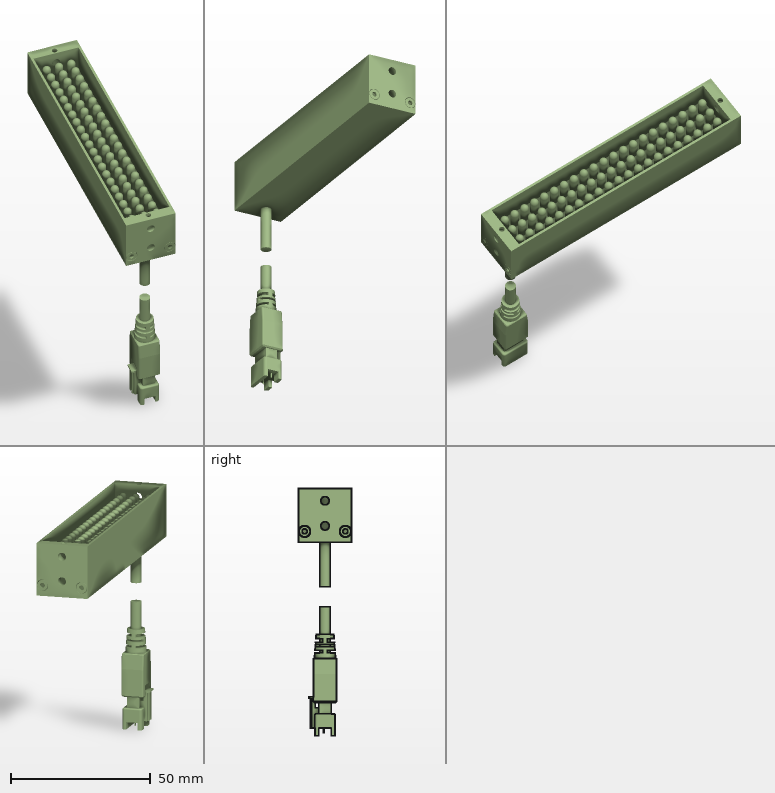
import cadquery as cq

BAR_LENGTH = 100.0
BAR_DEPTH = 19.0
BAR_HEIGHT = 19.3
CAP_THICKNESS = 4.0
WALL = 0.9
FLOOR_Z = 9.0

LAMP_DIAMETER = 3.0
LAMP_DOME_Z = 15.2
LAMP_COLUMNS = 21
LAMP_ROWS = 3
LAMP_PITCH_X = 4.3
LAMP_PITCH_Y = 4.7
LAMP_ROOT = 0.5

MOUNT_HOLE_DIAMETER = 3.0
MOUNT_HOLE_LEVELS = (5.85, 14.85)
TOP_HOLE_DIAMETER = 2.0
TOP_HOLE_DEPTH = 2.0
TOP_HOLE_SPACING = 95.0

SCREW_HEAD_DIAMETER = 3.9
SCREW_POCKET_DIAMETER = 4.2
SCREW_HEAD_HEIGHT = 2.0
SCREW_SOCKET_DIAMETER = 1.8
SCREW_SOCKET_DEPTH = 1.0
SCREW_Y = 7.3
SCREW_Z = 3.9

CABLE_DIAMETER = 3.9
CABLE_X = 43.75
STUB_LENGTH = 16.0
CABLE_GAP = 7.0
PLUG_BOTTOM_Z = -69.25
CABLE_END_Z = -STUB_LENGTH - CABLE_GAP

RELIEF_TOP_Z = -33.0
RELIEF_TOP_RADIUS = 3.2
RELIEF_BOTTOM_RADIUS = 3.85
RELIEF_RIB_WIDTH = 1.5
RELIEF_GROOVES = ((-34.45, -35.7), (-36.55, -37.45), (-38.65, -39.6))

BODY_TOP_Z = -41.5
BODY_TAPER_END_Z = -47.1
BODY_BOTTOM_Z = -57.4
BODY_TOP_WIDTH = 9.0
BODY_WIDTH = 10.2
BODY_DEPTH = 8.3
BODY_EDGE_RADIUS = 0.6
BODY_TOP_CHAMFER = 0.25
BODY_BOTTOM_CHAMFER = 0.5
WINDOW_WIDTH = 5.9
WINDOW_TOP_Z = -53.2

NECK_WIDTH = 8.4
NECK_DEPTH = 4.5

SHELL_TOP_Z = -61.4
SHELL_WIDTH = 10.9
SHELL_DEPTH = 7.3
SHELL_EDGE_RADIUS = 1.0
SHELL_TOP_RADIUS = 0.5
MOUTH_TOP_Z = -66.5
MOUTH_DEPTH = 4.3

LATCH_WIDTH = 4.2
LATCH_TOP_Z = -55.2
LATCH_ROOT_Z = -59.2
LATCH_BACK_Y = -3.45
LATCH_FACE_Y = -4.7
LATCH_RIB_Y = -5.3
LATCH_LIP_Y = -5.8
LATCH_LIP_THICKNESS = 0.6
LATCH_LIP_END_Z = -56.1
LATCH_RIB_WIDTH = 0.6
LATCH_RIB_OFFSET = 0.9

PIN_SIZE = 0.4
PIN_LENGTH = 1.7
PIN_OFFSET_X = 3.0
PIN_Y = -0.5


def block(width, depth, top, bottom, y=0.0):
    """Box centred on the cable axis in X, spanning two Z levels."""
    height = top - bottom
    return cq.Workplane("XY").box(width, depth, height).translate((CABLE_X, y, bottom + height / 2))


def slab(width, back, front, top, bottom):
    """Box centred on the cable axis in X, spanning two Y and two Z levels."""
    return block(width, back - front, top, bottom, (back + front) / 2)


def cable(top, bottom):
    return (cq.Workplane("XY", origin=(CABLE_X, 0, bottom))
            .circle(CABLE_DIAMETER / 2).extrude(top - bottom))


def lamps():
    """Grid of round lamps with domed tops, rooted slightly in the board."""
    radius = LAMP_DIAMETER / 2
    base = FLOOR_Z - LAMP_ROOT
    lamp = (cq.Workplane("XZ")
            .moveTo(0, base)
            .lineTo(radius, base)
            .lineTo(radius, LAMP_DOME_Z)
            .radiusArc((0, LAMP_DOME_Z + radius), -radius)
            .close()
            .revolve(360, (0, 0, 0), (0, 1, 0)).val())
    return (cq.Workplane("XY")
            .rarray(LAMP_PITCH_X, LAMP_PITCH_Y, LAMP_COLUMNS, LAMP_ROWS)
            .eachpoint(lambda place: lamp.moved(place)))


def cap_drill(diameter, depth, side, places):
    """Cylinders sunk into the outer face of the end cap on the given side."""
    return (cq.Workplane("YZ", origin=(side * BAR_LENGTH / 2, 0, 0))
            .pushPoints(places).circle(diameter / 2).extrude(-side * depth))


def drill_cap(bar, side):
    """Mounting holes and the two sunk screw heads of one end cap."""
    mounts = [(0, level) for level in MOUNT_HOLE_LEVELS]
    screws = [(-SCREW_Y, SCREW_Z), (SCREW_Y, SCREW_Z)]
    head_gap = (cap_drill(SCREW_POCKET_DIAMETER, SCREW_HEAD_HEIGHT, side, screws)
                .cut(cap_drill(SCREW_HEAD_DIAMETER, SCREW_HEAD_HEIGHT, side, screws)))
    return (bar.cut(cap_drill(MOUNT_HOLE_DIAMETER, CAP_THICKNESS, side, mounts))
            .cut(head_gap)
            .cut(cap_drill(SCREW_SOCKET_DIAMETER, SCREW_SOCKET_DEPTH, side, screws)))


def make_light_bar():
    """Open-topped bar with its lamps, drilled end caps and the stub of its cable."""
    centred = (True, True, False)
    tray_length = BAR_LENGTH - 2 * CAP_THICKNESS
    tray_depth = BAR_DEPTH - 2 * WALL
    tray = (cq.Workplane("XY", origin=(0, 0, FLOOR_Z))
            .box(tray_length, tray_depth, BAR_HEIGHT - FLOOR_Z, centered=centred))
    top_holes = (cq.Workplane("XY", origin=(0, 0, BAR_HEIGHT))
                 .rarray(TOP_HOLE_SPACING, 1, 2, 1)
                 .circle(TOP_HOLE_DIAMETER / 2).extrude(-TOP_HOLE_DEPTH))
    bar = cq.Workplane("XY").box(BAR_LENGTH, BAR_DEPTH, BAR_HEIGHT, centered=centred)
    bar = bar.cut(tray).cut(top_holes)
    for side in (-1, 1):
        bar = drill_cap(bar, side)
    return bar.union(lamps()).union(cable(0, -STUB_LENGTH))


def make_strain_relief():
    """Cone with ring grooves; each groove is bridged by a rib, turned 90 degrees each time."""
    cone = (cq.Workplane("XZ")
            .polyline([(0, RELIEF_TOP_Z), (RELIEF_TOP_RADIUS, RELIEF_TOP_Z),
                       (RELIEF_BOTTOM_RADIUS, BODY_TOP_Z), (0, BODY_TOP_Z)])
            .close().revolve(360, (0, 0, 0), (0, 1, 0)).translate((CABLE_X, 0, 0)))
    span = 2 * RELIEF_BOTTOM_RADIUS
    for index, (top, bottom) in enumerate(RELIEF_GROOVES):
        rib_along_x = index % 2 == 0
        rib_size = (span, RELIEF_RIB_WIDTH) if rib_along_x else (RELIEF_RIB_WIDTH, span)
        gap = (block(span, span, top, bottom)
               .cut(cable(top, bottom))
               .cut(block(*rib_size, top, bottom)))
        cone = cone.cut(gap)
    return cone


def make_plug_body():
    """Block with a tapered top and an opening at the front for the latch."""
    half_top = BODY_TOP_WIDTH / 2
    half = BODY_WIDTH / 2
    body = (cq.Workplane("XZ", origin=(CABLE_X, 0, 0))
            .polyline([(-half_top, BODY_TOP_Z), (half_top, BODY_TOP_Z), (half, BODY_TAPER_END_Z),
                       (half, BODY_BOTTOM_Z), (-half, BODY_BOTTOM_Z), (-half, BODY_TAPER_END_Z)])
            .close().extrude(BODY_DEPTH / 2, both=True))
    body = body.edges("not #Z").fillet(BODY_EDGE_RADIUS)
    body = body.faces(">Z").chamfer(BODY_TOP_CHAMFER)
    body = body.faces("<Z").chamfer(BODY_BOTTOM_CHAMFER)
    return body.cut(slab(WINDOW_WIDTH, -NECK_DEPTH / 2, -BODY_DEPTH / 2, WINDOW_TOP_Z, BODY_BOTTOM_Z))


def make_shell():
    """Mating end: two lips around an open mouth, the front one split below the latch."""
    shell = block(SHELL_WIDTH, SHELL_DEPTH, SHELL_TOP_Z, PLUG_BOTTOM_Z)
    shell = shell.edges("|Z").fillet(SHELL_EDGE_RADIUS)
    shell = shell.faces(">Z").edges().fillet(SHELL_TOP_RADIUS)
    mouth = block(SHELL_WIDTH, MOUTH_DEPTH, MOUTH_TOP_Z, PLUG_BOTTOM_Z)
    front_split = slab(LATCH_WIDTH, -MOUTH_DEPTH / 2, -SHELL_DEPTH / 2, MOUTH_TOP_Z, PLUG_BOTTOM_Z)
    shell = shell.cut(mouth).cut(front_split)
    for side in (-1, 1):
        pin = block(PIN_SIZE, PIN_SIZE, MOUTH_TOP_Z, MOUTH_TOP_Z - PIN_LENGTH, PIN_Y)
        shell = shell.union(pin.translate((side * PIN_OFFSET_X, 0, 0)))
    return shell


def make_latch():
    """Lever with a sloping lip at its top and two ribs down its face."""
    lever = (cq.Workplane("YZ", origin=(CABLE_X, 0, 0))
             .polyline([(0, LATCH_ROOT_Z), (LATCH_BACK_Y, LATCH_ROOT_Z), (LATCH_BACK_Y, LATCH_TOP_Z),
                        (LATCH_LIP_Y, LATCH_TOP_Z),
                        (LATCH_LIP_Y, LATCH_TOP_Z - LATCH_LIP_THICKNESS), (LATCH_FACE_Y, LATCH_LIP_END_Z),
                        (LATCH_FACE_Y, MOUTH_TOP_Z), (0, MOUTH_TOP_Z)])
             .close().extrude(LATCH_WIDTH / 2, both=True))
    for side in (-1, 1):
        rib = slab(LATCH_RIB_WIDTH, LATCH_FACE_Y, LATCH_RIB_Y, LATCH_TOP_Z, MOUTH_TOP_Z)
        lever = lever.union(rib.translate((side * LATCH_RIB_OFFSET, 0, 0)))
    return lever


def make_cable_plug():
    """Loose cable end with its strain relief and latching plug."""
    neck = block(NECK_WIDTH, NECK_DEPTH, WINDOW_TOP_Z, MOUTH_TOP_Z)
    plug = cable(CABLE_END_Z, BODY_TOP_Z)
    for piece in (make_strain_relief(), make_plug_body(), neck, make_shell(), make_latch()):
        plug = plug.union(piece)
    return plug


light_bar = make_light_bar()
cable_plug = make_cable_plug()

result = cq.Compound.makeCompound([light_bar.val(), cable_plug.val()])